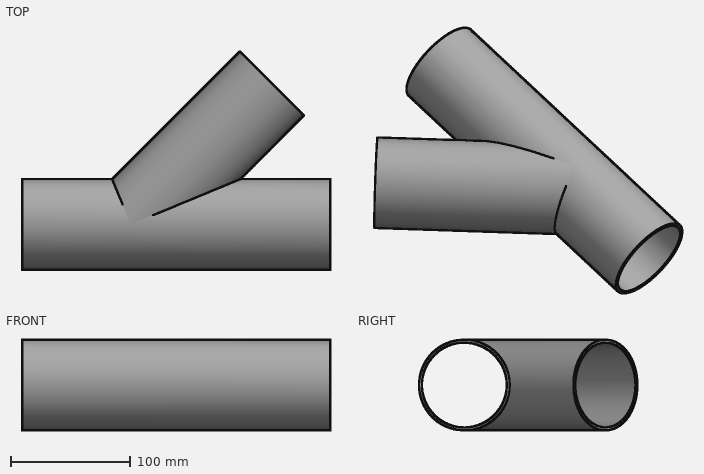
import cadquery as cq

outer_diameter = 76.1
wall_thickness = 2.6
bore_diameter = outer_diameter - 2 * wall_thickness

run_length = 258.0
branch_length = 167.0
branch_angle = 45.0
run_start_x = branch_length - run_length


def rod_along_x(diameter, start_x, end_x):
    """Solid cylinder on the X axis."""
    return cq.Workplane("YZ", origin=(start_x, 0, 0)).circle(diameter / 2).extrude(end_x - start_x)


def run_rod(diameter):
    """Solid cylinder along the whole run."""
    return rod_along_x(diameter, run_start_x, run_start_x + run_length)


def branch_rod(diameter):
    """Solid cylinder along the branch, cut off at the XZ plane through the run axis."""
    rod = rod_along_x(diameter, -diameter / 2, branch_length)
    rod = rod.rotate((0, 0, 0), (0, 0, 1), branch_angle)

    reach = branch_length + diameter
    branch_side = cq.Workplane("XY").box(2 * reach, reach, 2 * diameter, centered=(True, False, True))
    return rod.intersect(branch_side)


def pipe_lateral(diameter):
    """Run and branch joined as one solid body of the given diameter."""
    return run_rod(diameter).union(branch_rod(diameter))


result = pipe_lateral(outer_diameter).cut(run_rod(bore_diameter)).cut(branch_rod(bore_diameter))